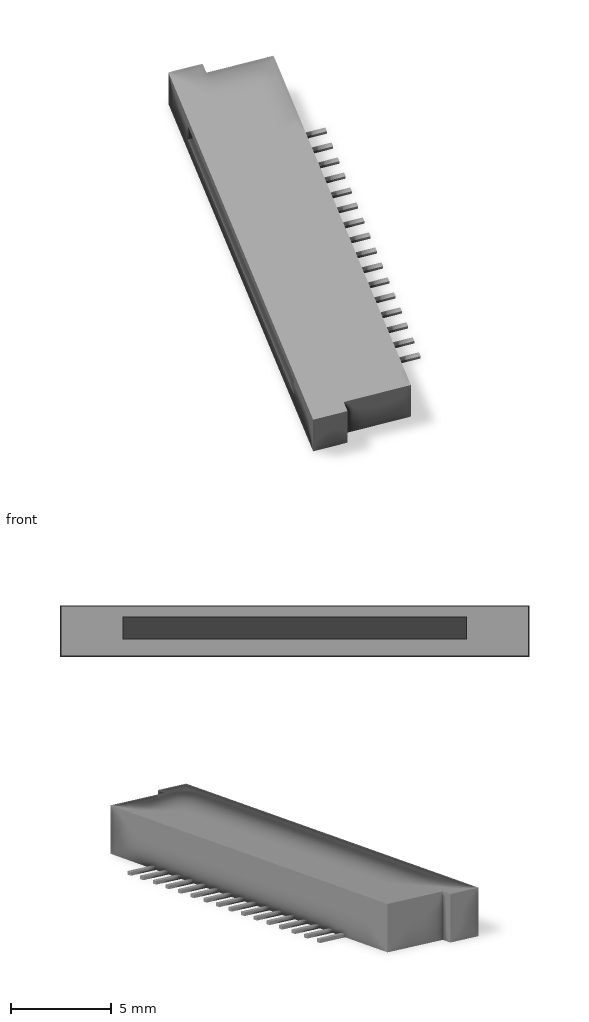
import cadquery as cq

flange_width = 23.2
flange_depth = 1.79
body_width = 22.0
body_depth = 5.3
height = 2.5

slot_width = 17.0
slot_height = 1.1
slot_floor = 0.85
slot_depth = 3.48

tail_count = 16
tail_row_span = 15.0
tail_pitch = tail_row_span / (tail_count - 1)
tail_width = 0.25
tail_thickness = 0.19
overall_depth = 6.9
tail_overlap = 0.23


def block(width, depth, tall, x_center=0, y_front=0, z_bottom=0):
    """Box centred on x_center, reaching back from y_front and up from z_bottom."""
    box = cq.Workplane("XY").box(width, depth, tall, centered=(True, False, False))
    return box.translate((x_center, y_front, z_bottom))


def make_housing():
    body = block(body_width, body_depth, height)
    flange = block(flange_width, flange_depth, height)
    slot = block(slot_width, slot_depth, slot_height, z_bottom=slot_floor)
    return body.union(flange).cut(slot)


def add_tails(housing):
    tail_front = body_depth - tail_overlap
    tail_length = overall_depth - tail_front
    first_x = -tail_row_span / 2
    for index in range(tail_count):
        tail_x = first_x + index * tail_pitch
        tail = block(tail_width, tail_length, tail_thickness, tail_x, tail_front)
        housing = housing.union(tail)
    return housing


result = add_tails(make_housing())